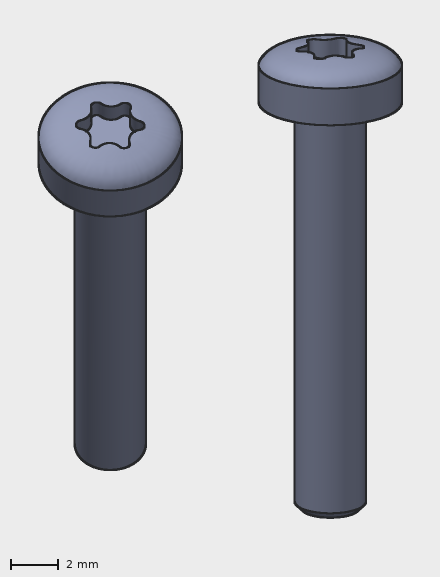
import cadquery as cq
import math

total_length = 20.37
shank_radius = 3.0 / 2
tip_chamfer = 0.3
head_radius = 6.0 / 2
head_height = 2.38
rim_height = 1.63

apex_height = 0.029
dome_shoulder_radius = 2.65
dome_shoulder_rise = 0.67
dome_crown_radius = 1.43

lobe_count = 6
recess_tip_radius = 2.85 / 2
recess_valley_radius = 2.04 / 2
lobe_radius = 0.25
recess_depth = 0.84

head_base_z = total_length - head_height
rim_top_z = head_base_z + rim_height
apex_z = total_length + apex_height


def make_body():
    """Shank, head and domed top as one revolved profile."""
    dome_control_points = [
        (head_radius, rim_top_z),
        (dome_shoulder_radius, rim_top_z + dome_shoulder_rise),
        (dome_crown_radius, apex_z),
        (0, apex_z),
    ]
    profile = (
        cq.Workplane("XZ")
        .lineTo(shank_radius - tip_chamfer, 0)
        .lineTo(shank_radius, tip_chamfer)
        .lineTo(shank_radius, head_base_z)
        .lineTo(head_radius, head_base_z)
        .lineTo(head_radius, rim_top_z)
        .bezier(dome_control_points)
        .close()
    )
    return profile.revolve(360, (0, 0, 0), (0, 1, 0))


def polar(radius, angle):
    """Planar point at a radius and angle (radians) about the screw axis."""
    return (radius * math.cos(angle), radius * math.sin(angle))


def make_recess():
    """Six-lobe socket of tangent arcs, with one lobe pointing along +Y."""
    half_pitch = math.pi / lobe_count
    lobe_center = recess_tip_radius - lobe_radius
    valley_arc_radius = (
        lobe_center**2 + recess_valley_radius**2 - lobe_radius**2
        - 2 * lobe_center * recess_valley_radius * math.cos(half_pitch)
    ) / (2 * (lobe_radius - recess_valley_radius + lobe_center * math.cos(half_pitch)))
    valley_center = recess_valley_radius + valley_arc_radius
    share = lobe_radius / (lobe_radius + valley_arc_radius)
    valley_x, valley_y = polar(valley_center, half_pitch)
    joint_x = lobe_center + share * (valley_x - lobe_center)
    joint_y = share * valley_y
    joint_radius = math.hypot(joint_x, joint_y)
    joint_angle = math.atan2(joint_y, joint_x)

    first_lobe = math.pi / 2
    outline = cq.Workplane("XY", origin=(0, 0, total_length - recess_depth))
    outline = outline.moveTo(*polar(joint_radius, first_lobe - joint_angle))
    for index in range(lobe_count):
        lobe = first_lobe + 2 * half_pitch * index
        next_lobe = lobe + 2 * half_pitch
        outline = outline.threePointArc(
            polar(recess_tip_radius, lobe), polar(joint_radius, lobe + joint_angle)
        )
        outline = outline.threePointArc(
            polar(recess_valley_radius, lobe + half_pitch),
            polar(joint_radius, next_lobe - joint_angle),
        )
    return outline.close().extrude(head_height)


result = make_body().cut(make_recess())